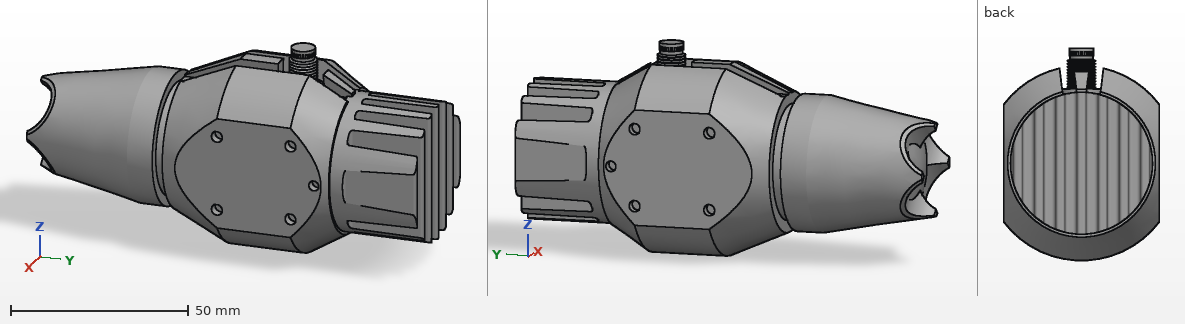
import cadquery as cq
import math

length = 118.5

nozzle_tip_radius = 13.4
nozzle_middle_radius = 16.3
nozzle_middle_y = 16.5
collar_radius = 39.0 / 2
collar_front_y = 32.2
collar_back_y = 39.8
neck_radius = 33.0 / 2

body_radius = 27.5
body_front_y = 43.0
body_front_radius = 20.0
body_wide_front_y = 60.0
body_wide_back_y = 82.1
body_back_y = 93.1
body_back_radius = 20.8
flat_offset = 44.0 / 2

fin_radius = 40.0 / 2
fin_base_y = 91.7
fin_count = 7
fin_row_span = 35.9
fin_pitch = fin_row_span / (fin_count - 1)
fin_depth = 21.5
fin_tip_width = 2.3
fin_root_width = 3.0
fin_tip_fillet = 0.7
fin_root_fillet = 1.0

slot_floor_z = 19.5
slot_floor_width = 10.5
slot_top_width = 12.3
slot_top_z = 26.8
rib_floor_width = 2.6
rib_top_width = 4.5
rib_gap = 13.5

pin_y = 78.0
pin_top_z = 32.5
boss_diameter = 12.2
boss_top_z = 21.0
thread_top_z = 29.6
thread_pitch = 0.8
thread_diameter = 8.0
thread_core_diameter = 6.5
cap_diameter = 6.9
cap_height = 2.1
knurl_height = 1.1
knurl_count = 20
knurl_diameter = 0.5

screw_diameter = 3.2
screw_half_spacing_z = 11.0
locator_diameter = 3.0
locator_y = 89.1
hole_depth = 3.0

trough_radius = 8.3
trough_depth = 5.8
dome_radius = 28.4
dome_top_y = 3.9
dome_rim_radius = 10.7
lip_chamfer_outside = 1.3
lip_chamfer_inside = 0.6


def turn(points):
    """Revolve (radius, y) points about the Y axis."""
    return cq.Workplane("XY").polyline(points).close().revolve(360, (0, 0, 0), (0, 1, 0))


def slot_prism(floor_width, top_width, y_start, y_end):
    """Prism along Y whose sides lean as set by its floor width and its width at slot_top_z."""
    widening = (top_width - floor_width) / (slot_top_z - slot_floor_z)
    half_floor = floor_width / 2
    half_top = half_floor + widening * (pin_top_z - slot_floor_z) / 2
    return (
        cq.Workplane("XZ", origin=(0, y_end, 0))
        .polyline([
            (-half_floor, slot_floor_z),
            (half_floor, slot_floor_z),
            (half_top, pin_top_z),
            (-half_top, pin_top_z),
        ])
        .close()
        .extrude(y_end - y_start)
    )


def make_body():
    """Double-coned barrel with two side flats and the ribbed slot along its top."""
    body = turn([
        (0, body_front_y),
        (body_front_radius, body_front_y),
        (body_radius, body_wide_front_y),
        (body_radius, body_wide_back_y),
        (body_back_radius, body_back_y),
        (0, body_back_y),
    ])
    between_flats = cq.Workplane("XY").box(2 * flat_offset, 2 * length, 3 * body_radius)
    body = body.intersect(between_flats)
    slot = slot_prism(slot_floor_width, slot_top_width, 0, length)
    for y_start, y_end in [(0, pin_y - rib_gap / 2), (pin_y + rib_gap / 2, length)]:
        slot = slot.cut(slot_prism(rib_floor_width, rib_top_width, y_start, y_end))
    return body.cut(slot)


def drill_sides(body):
    """Drill the same blind holes into both side flats."""
    corners = [
        (y, z)
        for y in (body_wide_front_y, body_wide_back_y)
        for z in (-screw_half_spacing_z, screw_half_spacing_z)
    ]
    hole_floor_x = flat_offset - hole_depth
    screws = cq.Workplane("YZ", origin=(hole_floor_x, 0, 0)).pushPoints(corners).circle(screw_diameter / 2)
    screws = screws.extrude(hole_depth)
    locator = cq.Workplane("YZ", origin=(hole_floor_x, locator_y, 0)).circle(locator_diameter / 2)
    holes = screws.union(locator.extrude(hole_depth))
    return body.cut(holes).cut(holes.mirror("YZ"))


def make_fins():
    """Cylinder split into upright fins by tapered gaps; the outermost gaps trim its sides."""
    fins = turn([(0, fin_base_y), (fin_radius, fin_base_y), (fin_radius, length), (0, length)])
    half_root = (fin_pitch - fin_root_width) / 2
    half_tip = (fin_pitch - fin_tip_width) / 2
    root_y = length - fin_depth
    gap = (
        cq.Workplane("XY", origin=(0, 0, -fin_radius))
        .polyline([(-half_root, root_y), (half_root, root_y), (half_tip, length), (-half_tip, length)])
        .close()
        .extrude(2 * fin_radius)
        .edges("|Z and <Y")
        .fillet(fin_root_fillet)
    )
    for index in range(fin_count + 1):
        fins = fins.cut(gap.translate(((index - fin_count / 2) * fin_pitch, 0, 0)))
    return fins.faces(">Y").edges("|Z").fillet(fin_tip_fillet)


def make_pin():
    """Boss, thread made of plain rings, and a cap knurled along its lower half."""
    core = thread_core_diameter / 2
    crest = thread_diameter / 2
    cap = cap_diameter / 2
    cap_z = pin_top_z - cap_height
    outline = [(0, slot_floor_z), (boss_diameter / 2, slot_floor_z), (boss_diameter / 2, boss_top_z)]
    outline.append((core, boss_top_z))
    thread_count = int((thread_top_z - boss_top_z) / thread_pitch)
    for index in range(thread_count):
        root_z = boss_top_z + index * thread_pitch
        outline.append((crest, root_z + thread_pitch / 2))
        outline.append((core, root_z + thread_pitch))
    outline += [(core, cap_z), (cap, cap_z), (cap, pin_top_z), (0, pin_top_z)]
    pin = cq.Workplane("XZ").polyline(outline).close().revolve(360, (0, 0, 0), (0, 1, 0))
    knurl = (
        cq.Workplane("XY", origin=(0, 0, cap_z))
        .polarArray(cap, 0, 360, knurl_count)
        .circle(knurl_diameter / 2)
        .extrude(knurl_height)
    )
    return pin.cut(knurl).translate((0, pin_y, 0))


def make_nozzle():
    """Neck, collar and two-stage cone whose tip is notched by two crossed round troughs."""
    nozzle = turn([
        (0, 0),
        (nozzle_tip_radius, 0),
        (nozzle_middle_radius, nozzle_middle_y),
        (collar_radius, collar_front_y),
        (collar_radius, collar_back_y),
        (neck_radius, collar_back_y),
        (neck_radius, body_front_y),
        (0, body_front_y),
    ])
    trough = (
        cq.Workplane("YZ", origin=(-2 * nozzle_tip_radius, trough_depth - trough_radius, 0))
        .circle(trough_radius)
        .extrude(4 * nozzle_tip_radius)
    )
    for angle in (45, 135):
        nozzle = nozzle.cut(trough.rotate((0, 0, 0), (0, 1, 0), angle))
    nozzle = nozzle.edges("%BSPLINE").chamfer(lip_chamfer_outside, lip_chamfer_inside)
    return nozzle.union(make_dome())


def make_dome():
    """Shallow spherical cap that rises where the four lobes of the crown meet."""
    def cap_y(radius):
        return dome_top_y + dome_radius - math.sqrt(dome_radius ** 2 - radius ** 2)

    middle_radius = dome_rim_radius / 2
    return (
        cq.Workplane("XY")
        .moveTo(0, dome_top_y)
        .threePointArc((middle_radius, cap_y(middle_radius)), (dome_rim_radius, cap_y(dome_rim_radius)))
        .lineTo(dome_rim_radius, nozzle_middle_y)
        .lineTo(0, nozzle_middle_y)
        .close()
        .revolve(360, (0, 0, 0), (0, 1, 0))
    )


result = drill_sides(make_body()).union(make_fins()).union(make_nozzle()).union(make_pin())